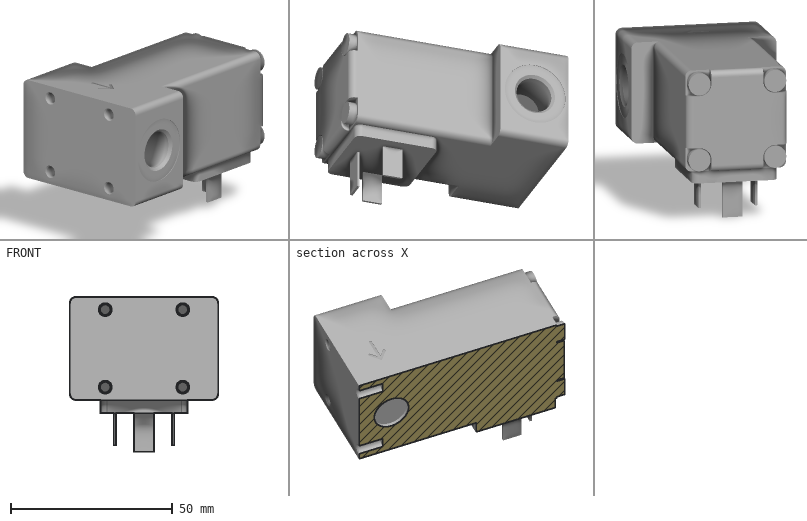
import cadquery as cq
import math


HOUSING_SIDE = 32.0
HOUSING_LENGTH = 69.5
BLOCK_WIDTH = 46.0
BLOCK_LENGTH = 22.5
EDGE_RADIUS = 2.0
HALF_HOUSING = HOUSING_SIDE / 2
HALF_BLOCK = BLOCK_WIDTH / 2

SCREW_OFFSET = 12.0
SCREW_CENTERS = [(x, z) for x in (-SCREW_OFFSET, SCREW_OFFSET) for z in (-SCREW_OFFSET, SCREW_OFFSET)]

MOUNT_HOLE_DIAMETER = 3.24
MOUNT_MOUTH_DIAMETER = 4.0
MOUNT_HOLE_DEPTH = 8.0

HEAD_DIAMETER = 7.0
HEAD_HEIGHT = 2.6
POCKET_FLOOR_Y = 67.0
POCKET_RADIUS = 3.75

PORT_Y = 11.0
PORT_DIAMETER = 11.45
PORT_MOUTH_DIAMETER = 13.2
PORT_DEPTH = 12.0
SEAL_FACE_DIAMETER = 20.0
SEAL_FACE_DEPTH = 0.2
ORIFICE_DIAMETER = 0.2

ARROW_LENGTH = 9.0
ARROW_STROKE = 0.9
ARROW_HALF_SPAN = 3.0
ARROW_ANGLE = math.radians(40)
ARROW_DEPTH = 0.2

CONNECTOR_Y = 53.0
CONNECTOR_SIDE = 27.0
CONNECTOR_HEIGHT = 4.0
BLADE_SPACING = 9.0
BLADE_WIDTH = 6.3
BLADE_THICKNESS = 0.8
POWER_BLADE_LENGTH = 10.0
EARTH_BLADE_LENGTH = 12.0


def box_from_front(width, length):
    """Box of housing height that starts at the front face and runs along +Y."""
    return cq.Workplane("XY").box(width, length, HOUSING_SIDE).translate((0, length / 2, 0))


def make_body():
    housing = box_from_front(HOUSING_SIDE, HOUSING_LENGTH).edges("|Y or >Y").fillet(EDGE_RADIUS)
    block = box_from_front(BLOCK_WIDTH, BLOCK_LENGTH).edges("|Y").fillet(EDGE_RADIUS)
    return housing.union(block)


def make_countersunk_cutter(diameter, mouth_diameter, depth):
    """Hole cutter along +Z from the origin, with a 45 degree mouth."""
    radius = diameter / 2
    mouth_radius = mouth_diameter / 2
    profile = [(0, 0), (mouth_radius, 0), (radius, mouth_radius - radius), (radius, depth), (0, depth)]
    return cq.Workplane("XZ").polyline(profile).close().revolve(360, (0, 0, 0), (0, 1, 0))


def make_mounting_holes():
    hole = make_countersunk_cutter(MOUNT_HOLE_DIAMETER, MOUNT_MOUTH_DIAMETER, MOUNT_HOLE_DEPTH)
    hole = hole.rotate((0, 0, 0), (1, 0, 0), -90)
    holes = cq.Workplane("XY")
    for x, z in SCREW_CENTERS:
        holes = holes.add(hole.translate((x, 0, z)))
    return holes.combine()


def make_left_port():
    bore = make_countersunk_cutter(PORT_DIAMETER, PORT_MOUTH_DIAMETER, PORT_DEPTH)
    bore = bore.translate((0, 0, SEAL_FACE_DEPTH))
    seal_face = cq.Workplane("XY").circle(SEAL_FACE_DIAMETER / 2).extrude(SEAL_FACE_DEPTH)
    port = bore.union(seal_face).rotate((0, 0, 0), (0, 1, 0), 90)
    return port.translate((-HALF_BLOCK, PORT_Y, 0))


def make_ports():
    """Matching ports on both ends of the block, joined by a fine orifice."""
    left_port = make_left_port()
    orifice = cq.Workplane("YZ").center(PORT_Y, 0).circle(ORIFICE_DIAMETER / 2)
    orifice = orifice.extrude(HALF_BLOCK - PORT_DEPTH, both=True)
    return left_port.union(left_port.mirror("YZ")).union(orifice)


def make_flow_arrow():
    tail_x = -ARROW_LENGTH / 2
    tip_x = ARROW_LENGTH / 2
    half_stroke = ARROW_STROKE / 2
    barb_x = tip_x - ARROW_HALF_SPAN / math.tan(ARROW_ANGLE)
    inner_x = barb_x - ARROW_STROKE * math.sin(ARROW_ANGLE)
    inner_y = ARROW_HALF_SPAN - ARROW_STROKE * math.cos(ARROW_ANGLE)
    neck_x = inner_x + (inner_y - half_stroke) / math.tan(ARROW_ANGLE)
    upper_half = [
        (tail_x, half_stroke),
        (neck_x, half_stroke),
        (inner_x, inner_y),
        (barb_x, ARROW_HALF_SPAN),
    ]
    lower_half = [(x, -y) for x, y in reversed(upper_half)]
    outline = upper_half + [(tip_x, 0)] + lower_half
    arrow = cq.Workplane("XY").polyline(outline).close().extrude(ARROW_DEPTH)
    return arrow.translate((0, PORT_Y, HALF_HOUSING - ARROW_DEPTH))


def make_screw_pocket(x, z):
    """Corner relief around one rear screw, rounded on its inner corner and open outwards."""
    side = HALF_HOUSING
    depth = HOUSING_LENGTH - POCKET_FLOOR_Y
    inner = SCREW_OFFSET - POCKET_RADIUS
    pocket = cq.Workplane("XY").box(side, depth, side, centered=False)
    pocket = pocket.edges("|Y and <X and <Z").fillet(POCKET_RADIUS)
    pocket = pocket.translate((inner, POCKET_FLOOR_Y, inner))
    if x < 0:
        pocket = pocket.mirror("YZ")
    if z < 0:
        pocket = pocket.mirror("XY")
    return pocket


def make_screw_head(x, z):
    head = cq.Workplane("XZ").circle(HEAD_DIAMETER / 2).extrude(-HEAD_HEIGHT)
    return head.translate((x, POCKET_FLOOR_Y, z))


def make_blade(x, y, size_x, size_y, length):
    """Contact blade hanging below the connector base."""
    base_z = -HALF_HOUSING - CONNECTOR_HEIGHT
    blade = cq.Workplane("XY").rect(size_x, size_y).extrude(-length)
    return blade.translate((x, y, base_z))


def make_connector():
    base = cq.Workplane("XY").rect(CONNECTOR_SIDE, CONNECTOR_SIDE).extrude(-CONNECTOR_HEIGHT)
    base = base.edges("|Z").fillet(EDGE_RADIUS).translate((0, CONNECTOR_Y, -HALF_HOUSING))
    for x in (-BLADE_SPACING, BLADE_SPACING):
        base = base.union(make_blade(x, CONNECTOR_Y, BLADE_THICKNESS, BLADE_WIDTH, POWER_BLADE_LENGTH))
    earth_y = CONNECTOR_Y + BLADE_SPACING
    return base.union(make_blade(0, earth_y, BLADE_WIDTH, BLADE_THICKNESS, EARTH_BLADE_LENGTH))


body = make_body()
body = body.cut(make_mounting_holes())
body = body.cut(make_ports())
body = body.cut(make_flow_arrow())
for screw_x, screw_z in SCREW_CENTERS:
    body = body.cut(make_screw_pocket(screw_x, screw_z))
    body = body.union(make_screw_head(screw_x, screw_z))
result = body.union(make_connector())